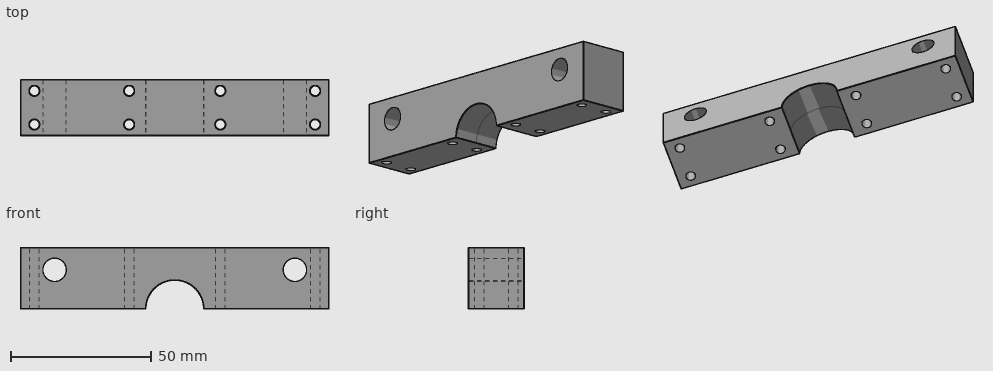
import cadquery as cq

length = 110.0
width = 20.0
height = 22.0
edge_chamfer = 0.2

notch_radius = 10.2

cross_hole_diameter = 8.2
cross_hole_spacing = 85.6
cross_hole_drop = 8.0

screw_hole_diameter = 3.4
countersink_diameter = 4.0
countersink_angle = 90
outer_screw_spacing = 100.0
inner_screw_spacing = 32.5
screw_row_spacing = 12.0


def notched_block():
    """Block centred in X and Y, standing on Z = 0, with every edge broken."""
    block = cq.Workplane("XY").box(length, width, height, centered=(True, True, False))
    notch = cq.Workplane("XZ").circle(notch_radius).extrude(width / 2, both=True)
    return block.cut(notch).edges().chamfer(edge_chamfer)


def cross_holes():
    """Pair of cylinders along Y, one near each end."""
    axis_height = height - cross_hole_drop
    half_spacing = cross_hole_spacing / 2
    return (
        cq.Workplane("XZ")
        .pushPoints([(-half_spacing, axis_height), (half_spacing, axis_height)])
        .circle(cross_hole_diameter / 2)
        .extrude(width, both=True)
    )


def drill_screw_holes(body, spacing):
    """Drill four countersunk through holes, two in each row."""
    return (
        body.faces(">Z")
        .workplane(origin=(0, 0, height))
        .rarray(spacing, screw_row_spacing, 2, 2)
        .cskHole(screw_hole_diameter, countersink_diameter, countersink_angle)
    )


result = notched_block().cut(cross_holes())
for screw_spacing in (outer_screw_spacing, inner_screw_spacing):
    result = drill_screw_holes(result, screw_spacing)